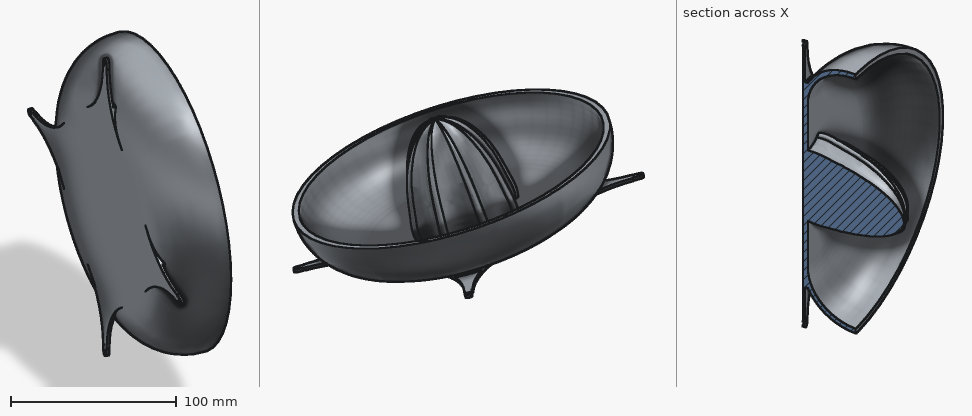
import cadquery as cq
import math


bowl_radius = 99.9
corner_radius = 36.5
rim_band = 1.3
wall = 4.0
foot_radius = bowl_radius - corner_radius
bowl_height = corner_radius + rim_band

total_height = 72.0
reamer_radius = 34.5
tip_radius = 1.3
reamer_rise = total_height - wall
flute_count = 8
flute_angle = 36.0
flute_edge = 0.93
flute_bottom = 0.79
section_angles = [0, 15, 30, 45, 60, 75, 83]

span = 220.0
leg_thickness = 2.0
pad_radius = 2.2
hole_diameter = 3.0
hole_distance = span / 2 - pad_radius
flare_start = 103.4
flare_radius = 57.2
neck_half_width = 2.6
root_radius = 79.2
root_thickness = 3.7
flare_angle = math.radians(53)


def polar(radius, degrees):
    angle = math.radians(degrees)
    return (radius * math.cos(angle), radius * math.sin(angle))


def bowl_solid(inset):
    """Round bowl shape, shrunk by inset on the sides and the underside."""
    radius = corner_radius - inset
    diagonal = radius * math.sqrt(0.5)
    return (
        cq.Workplane("XY")
        .moveTo(0, inset)
        .lineTo(foot_radius, inset)
        .threePointArc(
            (foot_radius + diagonal, corner_radius - diagonal),
            (foot_radius + radius, corner_radius),
        )
        .lineTo(foot_radius + radius, bowl_height)
        .lineTo(0, bowl_height)
        .close()
        .revolve(360, (0, 0, 0), (0, 1, 0))
    )


def fluted_wire(radius, height):
    """Closed outline of the reamer at one height: concave flutes and round-topped ribs in turn."""
    pitch = 360 / flute_count
    half_flute = flute_angle / 2

    def point(scale, degrees):
        u, v = polar(radius * scale, degrees)
        return cq.Vector(u, height, v)

    edges = []
    for i in range(flute_count):
        middle = i * pitch
        start = point(flute_edge, middle - half_flute)
        end = point(flute_edge, middle + half_flute)
        rib_crest = point(1, middle + pitch / 2)
        next_start = point(flute_edge, middle + pitch - half_flute)
        edges.append(cq.Edge.makeThreePointArc(start, point(flute_bottom, middle), end))
        edges.append(cq.Edge.makeThreePointArc(end, rib_crest, next_start))
    return cq.Wire.assembleEdges(edges)


def reamer():
    wires = []
    for degrees in section_angles:
        across, up = polar(1, degrees)
        wires.append(fluted_wire(reamer_radius * across, wall + reamer_rise * up))
    wires.append(fluted_wire(tip_radius, total_height))
    return cq.Workplane(obj=cq.Solid.makeLoft(wires))


def leg():
    """One leg along +X, flared from its neck into the foot of the bowl."""

    def flare_point(angle):
        distance = flare_start - flare_radius * math.sin(angle)
        half_width = neck_half_width + flare_radius * (1 - math.cos(angle))
        return distance, half_width

    middle_x, middle_z = flare_point(flare_angle / 2)
    inner_x, inner_z = flare_point(flare_angle)

    def flare(thickness):
        return (
            cq.Workplane("XZ")
            .moveTo(0, -inner_z)
            .lineTo(inner_x, -inner_z)
            .threePointArc((middle_x, -middle_z), (flare_start, -neck_half_width))
            .lineTo(flare_start, neck_half_width)
            .threePointArc((middle_x, middle_z), (inner_x, inner_z))
            .lineTo(0, inner_z)
            .close()
            .extrude(-thickness)
        )

    root_disc = cq.Workplane("XZ").circle(root_radius).extrude(-root_thickness)
    bar_length = hole_distance - foot_radius
    bar = (
        cq.Workplane("XZ")
        .center(foot_radius + bar_length / 2, 0)
        .rect(bar_length, 2 * pad_radius)
        .extrude(-leg_thickness)
    )
    pad = cq.Workplane("XZ").center(hole_distance, 0).circle(pad_radius).extrude(-leg_thickness)
    hole = cq.Workplane("XZ").center(hole_distance, 0).circle(hole_diameter / 2).extrude(-leg_thickness)
    root = flare(root_thickness).intersect(root_disc)
    return flare(leg_thickness).union(root).union(bar).union(pad).cut(hole)


one_leg = leg()
body = bowl_solid(0)
for quarter in range(4):
    body = body.union(one_leg.rotate((0, 0, 0), (0, 1, 0), 90 * quarter))

result = body.cut(bowl_solid(wall)).union(reamer())